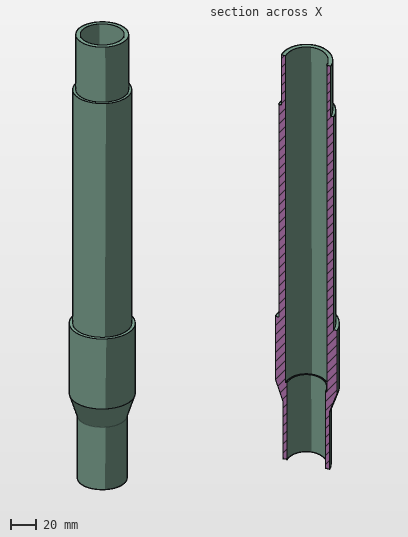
import cadquery as cq

total_length = 404.0
cone_bottom = 57.0
cone_top = 77.0
sleeve_top = 141.0
body_top = 354.0

lower_pipe_diameter = 40.0
sleeve_diameter = 53.0
body_diameter = 47.3
upper_pipe_diameter = 42.5
wall_thickness = 3.5

lower_pipe_radius = lower_pipe_diameter / 2
sleeve_radius = sleeve_diameter / 2
body_radius = body_diameter / 2
upper_pipe_radius = upper_pipe_diameter / 2

lower_bore_radius = lower_pipe_radius - wall_thickness
upper_bore_radius = upper_pipe_radius - wall_thickness

half_section = [
    (lower_bore_radius, 0),
    (lower_pipe_radius, 0),
    (lower_pipe_radius, cone_bottom),
    (sleeve_radius, cone_top),
    (sleeve_radius, sleeve_top),
    (body_radius, sleeve_top),
    (body_radius, body_top),
    (upper_pipe_radius, body_top),
    (upper_pipe_radius, total_length),
    (upper_bore_radius, total_length),
    (upper_bore_radius, cone_top),
    (lower_bore_radius, cone_top),
]

result = (
    cq.Workplane("XZ")
    .polyline(half_section)
    .close()
    .revolve(360, (0, 0, 0), (0, 1, 0))
)